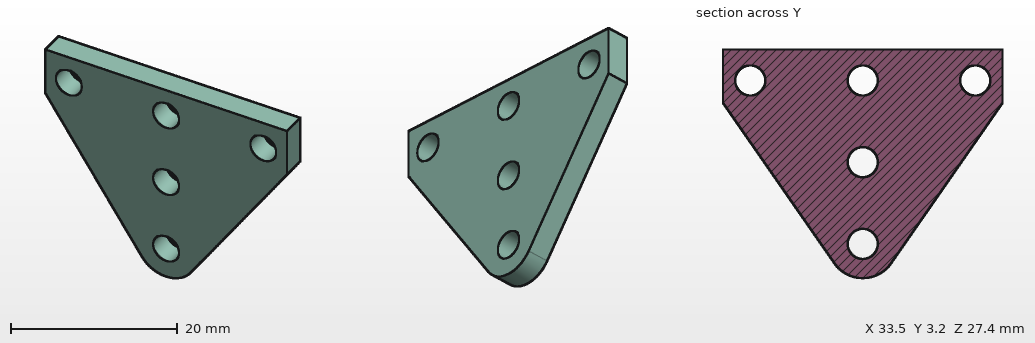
import cadquery as cq
import math

width = 33.53
thickness = 3.2
height = 27.43
side_height = 6.4

hole_diameter = 3.6
top_hole_drop = 3.72
top_hole_spacing = 13.48
center_hole_spacing = 9.8

half_width = width / 2
tip_center_z = -top_hole_drop - 2 * center_hole_spacing
tip_radius = height + tip_center_z

corner_rise = -side_height - tip_center_z
corner_distance = math.hypot(half_width, corner_rise)
corner_angle = math.atan2(corner_rise, half_width)
tangent_angle = corner_angle - math.acos(tip_radius / corner_distance)
tangent_x = tip_radius * math.cos(tangent_angle)
tangent_z = tip_center_z + tip_radius * math.sin(tangent_angle)

plate = (
    cq.Workplane("XZ")
    .moveTo(-half_width, 0)
    .lineTo(half_width, 0)
    .lineTo(half_width, -side_height)
    .lineTo(tangent_x, tangent_z)
    .threePointArc((0, -height), (-tangent_x, tangent_z))
    .lineTo(-half_width, -side_height)
    .close()
    .extrude(thickness)
)

hole_centers = [(i * top_hole_spacing, -top_hole_drop) for i in (-1, 0, 1)]
hole_centers += [(0, -top_hole_drop - i * center_hole_spacing) for i in (1, 2)]
holes = (
    cq.Workplane("XZ")
    .pushPoints(hole_centers)
    .circle(hole_diameter / 2)
    .extrude(thickness)
)

result = plate.cut(holes)